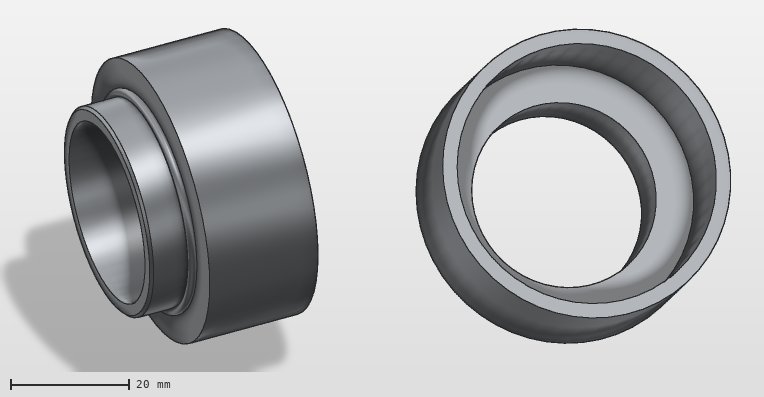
import cadquery as cq

body_diameter = 50.0
body_length = 20.0
bore_diameter = 32.0
bore_depth = 11.0
counterbore_diameter = 45.0
spigot_diameter = 37.0
spigot_length = 8.0
spigot_chamfer = 0.5
ring_section = 1.6
ring_protrusion = 1.4
ring_outer_diameter = 39.75

total_length = body_length + spigot_length
shoulder_y = spigot_length - total_length / 2
front_y = -total_length / 2


def cylinder_along_y(diameter, start_y, length):
    """Solid cylinder about the Y axis, running from start_y toward +Y."""
    plane = cq.Workplane("XZ", origin=(0, start_y, 0))
    return plane.circle(diameter / 2).extrude(-length)


def sealing_ring():
    """O-ring seated on the spigot and sunk slightly into the shoulder."""
    section_radius = ring_section / 2
    centre_radius = ring_outer_diameter / 2 - section_radius
    centre_y = shoulder_y - ring_protrusion + section_radius
    section_plane = cq.Plane(origin=(centre_radius, centre_y, 0), xDir=(-1, 0, 0), normal=(0, 0, 1))
    section = cq.Workplane(section_plane).circle(section_radius)
    return section.revolve(360, (centre_radius, 0), (centre_radius, 1))


body = cylinder_along_y(body_diameter, shoulder_y, body_length)
spigot = cylinder_along_y(spigot_diameter, front_y, total_length)
spigot = spigot.faces("<Y").edges().chamfer(spigot_chamfer)
bore = cylinder_along_y(bore_diameter, front_y, total_length)
counterbore = cylinder_along_y(counterbore_diameter, front_y + bore_depth, total_length - bore_depth)

result = body.union(spigot).union(sealing_ring()).cut(bore).cut(counterbore)